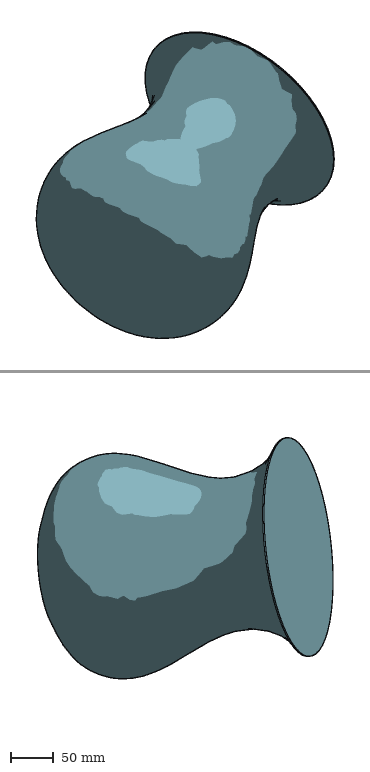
import cadquery as cq

LENGTH = 298.0
BASE_Y = -LENGTH / 2
MOUTH_Y = LENGTH / 2

COVER_THICKNESS = 1.8
MOUTH_RADIUS = 128.5
RIM_Y = MOUTH_Y - COVER_THICKNESS

NECK_RADIUS = 89.5
NECK_Y = 74.0
BELLY_RADIUS = 131.8
BELLY_Y = -79.0

BASE_RADIUS = 68.5
BASE_ROUND_WIDTH = 4.0
BASE_ROUND_HEIGHT = 1.0
BASE_ROUND_BULGE = 0.25
WALL_START_RADIUS = BASE_RADIUS + BASE_ROUND_WIDTH
WALL_START_Y = BASE_Y + BASE_ROUND_HEIGHT

WALL_CURVE = [
    (WALL_START_RADIUS, WALL_START_Y),
    (89.5, -139.8),
    (112.5, -123.0),
    (BELLY_RADIUS, BELLY_Y),
    (110.0, 0.0),
    (NECK_RADIUS, NECK_Y),
    (98.0, 113.3),
    (MOUTH_RADIUS, RIM_Y),
]


def make_vase():
    """Turned body with a flat base, rounded base edge, belly, neck and flared rim."""
    base_round_middle = (
        BASE_RADIUS + BASE_ROUND_WIDTH / 2,
        BASE_Y + BASE_ROUND_HEIGHT / 2 - BASE_ROUND_BULGE,
    )
    profile = (
        cq.Workplane("XY")
        .moveTo(0, BASE_Y)
        .lineTo(BASE_RADIUS, BASE_Y)
        .threePointArc(base_round_middle, WALL_CURVE[0])
        .spline(WALL_CURVE[1:], includeCurrent=True)
        .lineTo(0, RIM_Y)
        .close()
    )
    return profile.revolve(360, (0, 0), (0, 1))


def make_mouth_cover():
    """Thin disc lying flush on the rim and closing the mouth."""
    return (
        cq.Workplane("XZ", origin=(0, MOUTH_Y, 0))
        .circle(MOUTH_RADIUS)
        .extrude(COVER_THICKNESS)
    )


vase = make_vase()
mouth_cover = make_mouth_cover()

result = cq.Compound.makeCompound([vase.val(), mouth_cover.val()])